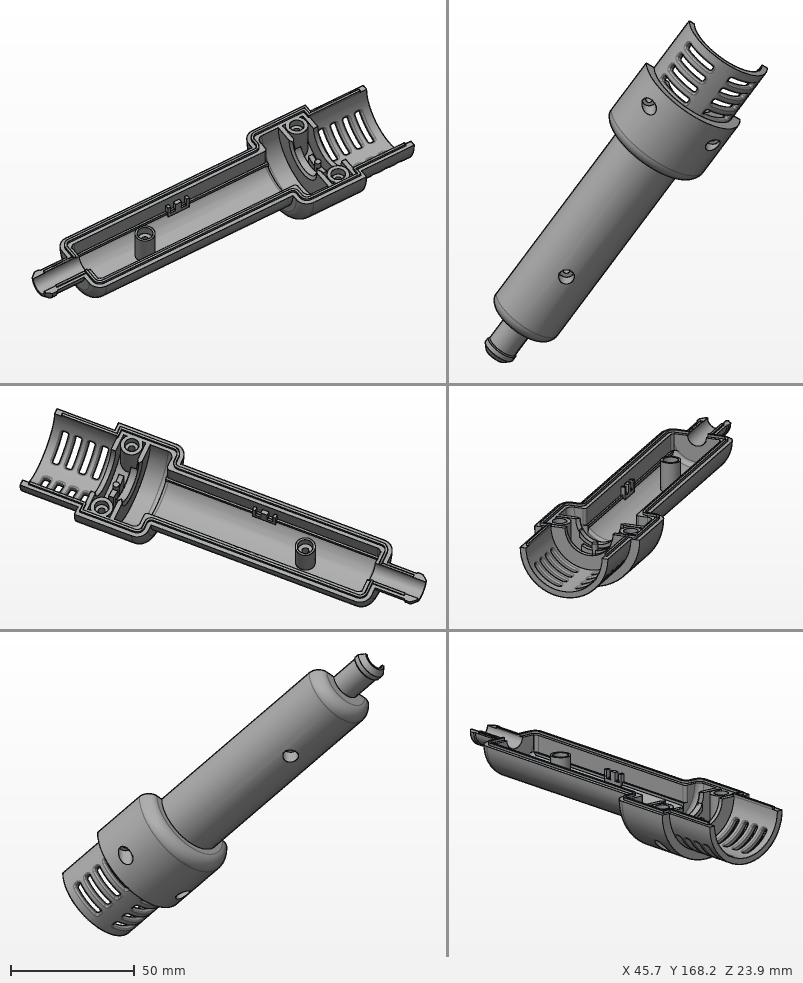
import cadquery as cq

barrel_radius = 19.05
collar_radius = 22.86
handle_radius = 15.24
spout_radius = 6.35
barb_radius = 6.86
barrel_end = -25.4
collar_end = barrel_end - 30.48
handle_end = collar_end - 94.6
overall_length = 168.15
spout_end = -overall_length
outer_fillet = 5.08
nose_chamfer = 1.95
nose_chamfer_length = 2.3
barb_length = 4.95
barb_ramp = 0.5

barrel_bore_radius = 16.51
chamber_radius = 18.54
web_opening_radius = 10.4
cradle_radius = 8.9
spout_bore_radius = 4.06
web_thickness = 2.03
wall = 4.4
barrel_web_top = barrel_end - 2.03
barrel_web_bottom = barrel_web_top - web_thickness
cradle_web_top = barrel_web_bottom - 9.7
cradle_web_bottom = cradle_web_top - web_thickness
chamber_end = collar_end + wall
chamber_fillet = 2.54
cradle_flare = 0.9

cavity_half_width = 10.8
cavity_wall_depth = 7.2
cavity_end = handle_end + wall
cavity_corner_fillet = 2.0
floor_half_width = 9.9
floor_radius = 12.95
cavity_mouth_flare = 1.3

lip_height = 1.02
spout_lip_height = 0.5
lip_width = 1.02
lip_inset = 1.8
barrel_lip_inset = 1.52
lip_mouth_gap = 3.05
spout_lip_end = spout_end + 5.5

slot_count = 4
slot_pitch = 5.84
first_slot_y = -5.65
slot_width = 2.8
slot_corner_radius = 0.9
slot_start_angle = 12.5
slot_end_angle = 60.0
slot_edge_fillet = 0.7
slot_margin = 0.1

collar_boss_x = 15.49
collar_boss_y = -34.29
collar_boss_diameter = 9.14
collar_counterbore = 5.84
collar_hole = 2.79
collar_seat_top = -3.3
collar_seat_bottom = -10.0
handle_boss_y = -117.1
handle_boss_diameter = 8.13
handle_counterbore = 6.35
handle_hole = 2.8
handle_seat_top = -3.6
handle_seat_bottom = -9.0

cradle_length = 2.0
cradle_half_width = 8.0
rib_half_width = 5.4
rib_radius = 10.16
rib_thickness = 2.2
rib_top_y = -33.0
post_diameter = 2.5
post_y = -34.1
post_top = -7.3
clip_middle_y = -95.1
clip_length = 10.2
clip_width = 1.7
clip_top = -3.8
clip_notch_length = 2.4
clip_notch_offset = 2.6
clip_notch_floor = -7.5

beyond = 1.0


def box_between(x_range, y_range, z_range):
    """Axis-aligned box given by its limits."""
    sizes = [high - low for low, high in (x_range, y_range, z_range)]
    corner = (x_range[0], y_range[0], z_range[0])
    return cq.Workplane("XY").box(*sizes, centered=False).translate(corner)


def turned(profile):
    """Half turn of an XY profile about the Y axis, filling Z <= 0."""
    return profile.close().revolve(180, (0, 0, 0), (0, 1, 0))


def ring(inner, outer, y_top, length):
    """Half ring below the parting plane."""
    start = cq.Workplane("XY").moveTo(inner, y_top)
    return turned(start.lineTo(outer, y_top).lineTo(outer, y_top - length).lineTo(inner, y_top - length))


def post(x, y, diameter, z_low, z_high):
    """Upright cylinder between two heights."""
    return cq.Workplane("XY", origin=(x, y, z_low)).circle(diameter / 2).extrude(z_high - z_low)


def make_shell():
    """Solid outer half body of revolution."""
    fillet = outer_fillet
    profile = (
        cq.Workplane("XY")
        .lineTo(barrel_radius, 0)
        .lineTo(barrel_radius, barrel_end)
        .lineTo(collar_radius, barrel_end)
        .lineTo(collar_radius, collar_end + fillet)
        .radiusArc((collar_radius - fillet, collar_end), fillet)
        .lineTo(handle_radius, collar_end)
        .lineTo(handle_radius, handle_end + fillet)
        .radiusArc((handle_radius - fillet, handle_end), fillet)
        .lineTo(spout_radius, handle_end)
        .lineTo(spout_radius, spout_end + barb_length)
        .lineTo(barb_radius, spout_end + barb_length - barb_ramp)
        .lineTo(barb_radius, spout_end + nose_chamfer_length)
        .lineTo(barb_radius - nose_chamfer, spout_end)
        .lineTo(0, spout_end)
    )
    return turned(profile)


def make_chambers():
    """Barrel bore, the two collar chambers and the web openings between them."""
    profile = (
        cq.Workplane("XY")
        .moveTo(0, beyond)
        .lineTo(barrel_bore_radius, beyond)
        .lineTo(barrel_bore_radius, barrel_web_top)
        .lineTo(web_opening_radius, barrel_web_top)
        .lineTo(web_opening_radius, barrel_web_bottom)
        .lineTo(chamber_radius, barrel_web_bottom)
        .lineTo(chamber_radius, cradle_web_top)
        .lineTo(web_opening_radius, cradle_web_top)
        .lineTo(cradle_radius, cradle_web_top - cradle_flare)
        .lineTo(cradle_radius, cradle_web_bottom + cradle_flare)
        .lineTo(web_opening_radius, cradle_web_bottom)
        .lineTo(chamber_radius, cradle_web_bottom)
        .lineTo(chamber_radius, chamber_end + chamber_fillet)
        .radiusArc((chamber_radius - chamber_fillet, chamber_end), chamber_fillet)
        .lineTo(0, chamber_end)
    )
    return turned(profile)


def make_handle_cavity():
    """Straight-walled trough with a narrower round floor, flared where it meets the collar."""
    flare = cavity_mouth_flare
    trough = (
        cq.Workplane("XY")
        .moveTo(0, chamber_end)
        .lineTo(cavity_half_width + flare, chamber_end)
        .radiusArc((cavity_half_width, chamber_end - flare), -flare)
        .lineTo(cavity_half_width, cavity_end + cavity_corner_fillet)
        .radiusArc((cavity_half_width - cavity_corner_fillet, cavity_end), cavity_corner_fillet)
        .lineTo(0, cavity_end)
        .close()
        .extrude(-cavity_wall_depth)
    )
    trough = trough.union(trough.mirror("YZ"))
    profile = (
        cq.Workplane("XY")
        .moveTo(0, chamber_end)
        .lineTo(floor_radius + flare, chamber_end)
        .radiusArc((floor_radius, chamber_end - flare), -flare)
        .lineTo(floor_radius, cavity_end + cavity_corner_fillet)
        .radiusArc((floor_radius - cavity_corner_fillet, cavity_end), cavity_corner_fillet)
        .lineTo(0, cavity_end)
    )
    floor_limits = box_between(
        (-floor_half_width, floor_half_width), (cavity_end, chamber_end), (-collar_radius, 0)
    )
    return trough.union(turned(profile).intersect(floor_limits))


def lip_region(inset, barrel_inset, spout_edge, mouth_y):
    """Parting-plane outline moved inward by the insets, raised to the lip height."""
    fillet = outer_fillet - inset
    collar_edge = collar_radius - inset
    handle_edge = handle_radius - inset
    barrel_edge = barrel_radius - barrel_inset
    half = (
        cq.Workplane("XY")
        .moveTo(0, mouth_y)
        .lineTo(barrel_edge, mouth_y)
        .lineTo(barrel_edge, barrel_end - barrel_inset)
        .lineTo(collar_edge, barrel_end - barrel_inset)
        .lineTo(collar_edge, collar_end + outer_fillet)
        .radiusArc((collar_edge - fillet, collar_end + inset), fillet)
        .lineTo(handle_radius, collar_end + inset)
        .radiusArc((handle_edge, collar_end), -inset)
        .lineTo(handle_edge, handle_end + outer_fillet)
        .radiusArc((handle_edge - fillet, handle_end + inset), fillet)
        .lineTo(spout_edge, handle_end + inset)
        .lineTo(0, handle_end + inset)
        .close()
        .extrude(lip_height)
    )
    return half.union(half.mirror("YZ"))


def make_lip():
    """Raised lip that follows the outline and a lower pair of lips along the spout."""
    spout_lip_outer = spout_bore_radius + lip_width
    outside = lip_region(lip_inset, barrel_lip_inset, spout_lip_outer, -lip_mouth_gap)
    inside = lip_region(lip_inset + lip_width, barrel_lip_inset + lip_width, spout_bore_radius, 0)
    lip = outside.cut(inside)
    spout_top = handle_end + lip_inset
    channel_top = spout_top + lip_width
    lip = lip.cut(
        box_between((-spout_bore_radius, spout_bore_radius), (spout_top, channel_top), (0, lip_height))
    )
    for low in (spout_bore_radius, -spout_lip_outer):
        bar = box_between((low, low + lip_width), (spout_lip_end, channel_top), (0, spout_lip_height))
        lip = lip.union(bar)
    return lip


def slot_edges(body):
    """Edges where the slots break through the inner and outer barrel surfaces."""
    last_slot_y = first_slot_y - (slot_count - 1) * slot_pitch
    low = last_slot_y - slot_width / 2 - slot_margin
    high = first_slot_y + slot_width / 2 + slot_margin
    curved = [edge for edge in body.edges().vals() if edge.geomType() != "LINE"]
    return [edge for edge in curved if low < edge.Center().y < high]


def cut_slots(body):
    """Two rows of circumferential vent slots with rounded corners and rounded edges."""
    sweep = slot_end_angle - slot_start_angle
    reach = barrel_radius + beyond
    depth = barrel_bore_radius - beyond
    for index in range(slot_count):
        y = first_slot_y - index * slot_pitch
        band = (
            cq.Workplane("XY")
            .moveTo(depth, y - slot_width / 2)
            .lineTo(reach, y - slot_width / 2)
            .lineTo(reach, y + slot_width / 2)
            .lineTo(depth, y + slot_width / 2)
            .close()
            .revolve(sweep, (0, 0, 0), (0, 1, 0))
            .rotate((0, 0, 0), (0, 1, 0), 90 - slot_end_angle)
        )
        band = band.edges("%LINE and (not |Y)").fillet(slot_corner_radius)
        body = body.cut(band).cut(band.mirror("YZ"))
    return body.newObject(slot_edges(body)).fillet(slot_edge_fillet)


def add_screw_boss(body, x, y, diameter, bore, hole, seat_top, seat_bottom, shell):
    """Boss up to the parting plane, counterbored from both ends around a seat."""
    boss = post(x, y, diameter, -collar_radius, 0).intersect(shell)
    body = body.union(boss)
    body = body.cut(post(x, y, hole, -collar_radius, beyond))
    body = body.cut(post(x, y, bore, seat_top, beyond))
    return body.cut(post(x, y, bore, -collar_radius, seat_bottom))


def add_collar_supports(body):
    """Cradle beside the second web, arc rib and locating post on the middle chamber floor."""
    cradle_top = cradle_web_top + cradle_length
    cradle = ring(cradle_radius, web_opening_radius, cradle_top, cradle_length + cradle_flare)
    cradle_limits = box_between(
        (-cradle_half_width, cradle_half_width), (cradle_web_bottom, cradle_top), (-collar_radius, 0)
    )
    rib = ring(rib_radius, chamber_radius + beyond, rib_top_y, rib_thickness)
    rib_limits = box_between(
        (-rib_half_width, rib_half_width), (cradle_web_top, 0), (-collar_radius, 0)
    )
    pin = post(0, post_y, post_diameter, -chamber_radius - beyond, post_top)
    return body.union(cradle.intersect(cradle_limits)).union(rib.intersect(rib_limits)).union(pin)


def add_clips(body):
    """Toothed clip on each side wall of the handle cavity."""
    low_y = clip_middle_y - clip_length / 2
    inner_x = cavity_half_width - clip_width
    clip = box_between(
        (inner_x, cavity_half_width + beyond), (low_y, low_y + clip_length), (-floor_radius, clip_top)
    )
    clip = clip.intersect(ring(0, floor_radius + beyond, clip_middle_y + clip_length, 2 * clip_length))
    for side in (-1, 1):
        middle = clip_middle_y + side * clip_notch_offset
        y_range = (middle - clip_notch_length / 2, middle + clip_notch_length / 2)
        clip = clip.cut(box_between((0, cavity_half_width), y_range, (clip_notch_floor, 0)))
    return body.union(clip).union(clip.mirror("YZ"))


shell = make_shell()
spout_bore = ring(0, spout_bore_radius, cavity_end + beyond, overall_length)
body = shell.cut(make_chambers()).cut(make_handle_cavity()).cut(spout_bore)
body = cut_slots(body)
for x in (-collar_boss_x, collar_boss_x):
    body = add_screw_boss(
        body, x, collar_boss_y, collar_boss_diameter, collar_counterbore, collar_hole,
        collar_seat_top, collar_seat_bottom, shell,
    )
body = add_screw_boss(
    body, 0, handle_boss_y, handle_boss_diameter, handle_counterbore, handle_hole,
    handle_seat_top, handle_seat_bottom, shell,
)
body = add_collar_supports(body)
body = add_clips(body)
result = body.union(make_lip())